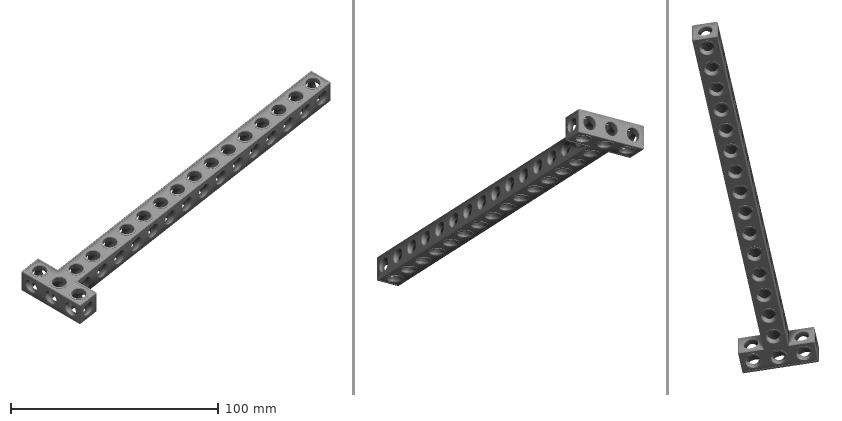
import cadquery as cq

pitch = 12.5
stem_holes = 16
crossbar_holes = 3
crossbar_length = crossbar_holes * pitch
total_length = stem_holes * pitch
mid_height = pitch / 2

hole_radius = 7.0 / 2
edge_chamfer = 0.3

rim_width = 1.1
recess_depth = 0.2
rim_radius = hole_radius + rim_width

crossbar_y = pitch / 2
arm_columns = (-pitch, pitch)
stem_rows = [crossbar_y + row * pitch for row in range(1, stem_holes)]
stem_centres = [(0, y) for y in [crossbar_y] + stem_rows]
arm_centres = [(x, crossbar_y) for x in arm_columns]
vertical_hole_centres = stem_centres + arm_centres


def bar(width, length, inset, height):
    """Bar starting at Y = 0, centred on X, with its outline pulled in by the inset."""
    outline = cq.Workplane("XY").center(0, length / 2).rect(width - 2 * inset, length - 2 * inset)
    return outline.extrude(height)


def tee_slab(inset, height):
    """T-shaped slab with its outline pulled in by the inset on every side."""
    crossbar = bar(crossbar_length, pitch, inset, height)
    stem = bar(pitch, total_length, inset, height)
    return crossbar.union(stem)


def chamfered_body():
    """Solid T with chamfered edges; the two inner corners stay sharp."""
    body = tee_slab(0, pitch)
    inner_corners = cq.selectors.BoxSelector(
        (-pitch, pitch / 2, 0), (pitch, 3 * pitch / 2, pitch)
    )
    upright_corners = body.edges("|Z").edges(cq.selectors.InverseSelector(inner_corners))
    flat_edges = body.faces("<Z or >Z").edges()
    return body.newObject(upright_corners.vals() + flat_edges.vals()).chamfer(edge_chamfer)


def recess():
    """Cutter for one face: the T inside its rim, less a round rim at each hole."""
    rims = cq.Workplane("XY").pushPoints(vertical_hole_centres).circle(rim_radius)
    return tee_slab(rim_width, recess_depth).cut(rims.extrude(recess_depth))


def chamfered_hole(length):
    """Hole cutter from the origin up along Z, flared at both ends."""
    mouth_radius = hole_radius + edge_chamfer
    profile = [
        (0, 0),
        (mouth_radius, 0),
        (hole_radius, edge_chamfer),
        (hole_radius, length - edge_chamfer),
        (mouth_radius, length),
        (0, length),
    ]
    return cq.Workplane("XZ").polyline(profile).close().revolve(360, (0, 0), (0, 1))


def hole_along_x(length, y):
    cutter = chamfered_hole(length).rotate((0, 0, 0), (0, 1, 0), 90)
    return cutter.translate((-length / 2, y, mid_height))


def hole_along_y(length, x):
    cutter = chamfered_hole(length).rotate((0, 0, 0), (1, 0, 0), -90)
    return cutter.translate((x, 0, mid_height))


def hole_along_z(x, y):
    return chamfered_hole(pitch).translate((x, y, 0))


result = chamfered_body()

for bottom in (0, pitch - recess_depth):
    result = result.cut(recess().translate((0, 0, bottom)))

for x, y in vertical_hole_centres:
    result = result.cut(hole_along_z(x, y))

for y in stem_rows:
    result = result.cut(hole_along_x(pitch, y))
result = result.cut(hole_along_x(crossbar_length, crossbar_y))

result = result.cut(hole_along_y(total_length, 0))
for x in arm_columns:
    result = result.cut(hole_along_y(pitch, x))